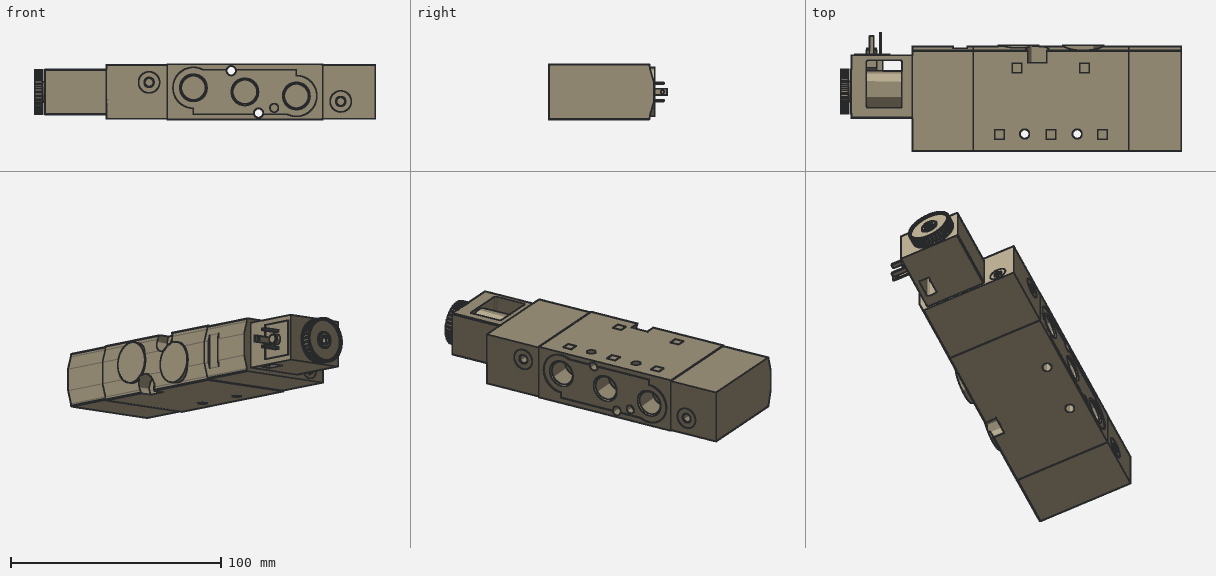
import cadquery as cq
import math


total_length = 162.2
body_length = 74.0
right_cap_length = 25.1
left_cap_length = 28.9
coil_length = 29.0
body_end_x = total_length - right_cap_length
body_start_x = body_end_x - body_length
body_center_x = (body_start_x + body_end_x) / 2
left_cap_x = body_start_x - left_cap_length
coil_x = left_cap_x - coil_length

body_height = 26.5
cap_height = 25.6
shoulder_y = 48.0
edge_chamfer = 0.5
strip_half_height = 11.4
crown_y = 49.8
crown_half_height = 5.2

port_spacing = 24.5
port_stagger = 2.0
port_diameter = 11.5
port_mouth_diameter = 13.0
port_chamfer = (port_mouth_diameter - port_diameter) / 2
port_depth = 13.0
gasket_recess_depth = 0.5
gasket_end_diameter = 19.5
gasket_height = 21.0
rear_port_offset = 15.4
rear_boss_diameter = 19.5
rear_boss_y = 50.5

mount_hole_diameter = 4.4
cross_hole_offset_x = 6.5
cross_hole_z = 10.0
counterbore_diameter = 10.9
counterbore_floor_y = 42.0
vertical_hole_offset_x = 12.5
vertical_hole_y = 8.1
pilot_hole_offset_x = 14.0
pilot_hole_z = -7.6
pilot_hole_diameter = 4.0
pilot_hole_depth = 4.9
label_size = 4.5
label_depth = 0.2
front_label_y = 8.0
rear_label_y = 39.4
rear_label_offset = 16.0

cap_port_offset_x = 45.5
cap_port_z = 4.5
spotface_diameter = 10.0
spotface_depth = 0.2
cap_port_diameter = 4.0
cap_port_mouth_diameter = 4.7
cap_port_chamfer = (cap_port_mouth_diameter - cap_port_diameter) / 2
cap_port_depth = 8.1
cap_notch_x = 53.5
cap_notch_width = 6.6
cap_notch_depth = 0.8

screw_y = 8.5
screw_z = -7.8
screw_head_diameter = 8.0
screw_head_height = 4.0
socket_core_diameter = 3.2
socket_lobe_diameter = 0.9
socket_lobe_count = 6
socket_depth = 1.6

coil_front_y = 15.5
coil_back_y = 45.5
coil_height = 21.7
coil_chamfer = 0.5
coil_axis_y = 28.4
winding_diameter = 19.5
window_x = 12.3
window_length = 16.9
window_front_y = 20.6
window_back_y = 43.1
window_corner_radius = 0.8
window_floor_z = -8.1
slot_x = 20.1
socket_block_end_x = 17.2
socket_block_front_y = 38.5
socket_block_top_z = -1.6
socket_block_chamfer = 1.3
wire_hole_front_y = 38.8
wire_hole_back_y = 42.0
wire_hole_bottom_z = 3.9
wire_hole_top_z = 8.5
face_ring_diameter = 21.0
face_ring_thickness = 0.5

pad_size = 16.5
pad_thickness = 0.5
pad_y = coil_back_y + pad_thickness
pad_center_x = 15.0
terminal_x = 14.8
insert_steps = ((5.0, 2.0), (4.4, 2.9))
contact_width = 2.1
contact_thickness = 1.0
contact_spacing = 8.3
contact_tip_y = 54.8
contact_tip_chamfer = 0.3
earth_x = 19.0
earth_width = 3.0
earth_thickness = 0.6
earth_tip_y = 56.3
earth_hole_diameter = 1.5
earth_hole_y = 54.0
terminal_embedment = 1.6

nut_diameter = 21.2
nut_thickness = 3.7
nut_recess_diameter = 19.3
nut_recess_depth = 0.8
nut_hub_diameter = 8.0
nut_hub_chamfer = 0.5
nut_bore_diameter = 3.2
nut_bore_chamfer = 0.6
nut_bore_depth = 1.3
nut_bore_end_diameter = 0.9
nut_bore_taper_length = 1.3
nut_collar_diameter = 9.7
knurl_count = 34
knurl_groove_diameter = 0.8


def box(x0, x1, y0, y1, z0, z1):
    """Box between opposite corners."""
    return cq.Workplane("XY").box(x1 - x0, y1 - y0, z1 - z0, centered=False).translate((x0, y0, z0))


def rod_x(diameter, x0, x1, y, z):
    """Cylinder along X."""
    return cq.Workplane("YZ", origin=(x0, y, z)).circle(diameter / 2).extrude(x1 - x0)


def rod_y(diameter, y0, y1, x, z):
    """Cylinder along Y."""
    return cq.Workplane("XZ", origin=(x, y0, z)).circle(diameter / 2).extrude(y0 - y1)


def cone_x(diameter0, diameter1, length, x, y, z):
    """Truncated cone along X, from diameter0 at x to diameter1 at x + length."""
    return cq.Workplane(cq.Solid.makeCone(diameter0 / 2, diameter1 / 2, length,
                                          cq.Vector(x, y, z), cq.Vector(1, 0, 0)))


def countersink_y(mouth_diameter, depth, x, y, z):
    """Cone of a 45 degree chamfer that narrows toward +Y."""
    return cq.Workplane(cq.Solid.makeCone(mouth_diameter / 2, mouth_diameter / 2 - depth, depth,
                                          cq.Vector(x, y, z), cq.Vector(0, 1, 0)))


def crowned_block(x0, x1, height):
    """Block with a square front and a back face that rises to a flat crown at mid-height."""
    half = height / 2
    upper_half = [
        (shoulder_y - edge_chamfer, half),
        (shoulder_y, half - edge_chamfer),
        (shoulder_y, strip_half_height),
        (crown_y, crown_half_height),
    ]
    lower_half = [(y, -z) for y, z in reversed(upper_half)]
    outline = [(0, half)] + upper_half + lower_half + [(0, -half)]
    return cq.Workplane("YZ", origin=(x0, 0, 0)).polyline(outline).close().extrude(x1 - x0)



def gasket_recess():
    """Shallow recess around the front ports: a rectangle with a staggered round at each end."""
    recess = box(body_center_x - port_spacing, body_center_x + port_spacing,
                 0, gasket_recess_depth, -gasket_height / 2, gasket_height / 2)
    for side in (-1, 1):
        recess = recess.union(rod_y(gasket_end_diameter, 0, gasket_recess_depth,
                                    body_center_x + side * port_spacing, -side * port_stagger))
    return recess


def cut_front_ports(body):
    """Three chamfered blind ports that step down from left to right."""
    for side in (-1, 0, 1):
        x = body_center_x + side * port_spacing
        z = -side * port_stagger
        body = body.cut(rod_y(port_diameter, 0, port_depth, x, z))
        body = body.cut(countersink_y(port_mouth_diameter, port_chamfer, x, gasket_recess_depth, z))
    pilot_x = body_center_x + pilot_hole_offset_x
    return body.cut(rod_y(pilot_hole_diameter, 0, pilot_hole_depth, pilot_x, pilot_hole_z))


def cut_mounting_holes(body):
    """Two through holes along Y, counterbored at the back, and two through holes along Z."""
    for side in (-1, 1):
        x = body_center_x + side * cross_hole_offset_x
        z = -side * cross_hole_z
        body = body.cut(rod_y(mount_hole_diameter, 0, rear_boss_y, x, z))
        body = body.cut(rod_y(counterbore_diameter, counterbore_floor_y, rear_boss_y, x, z))
        vertical_hole = (
            cq.Workplane("XY", origin=(body_center_x + side * vertical_hole_offset_x, vertical_hole_y, 0))
            .circle(mount_hole_diameter / 2)
            .extrude(body_height, both=True)
        )
        body = body.cut(vertical_hole)
    return body


def cut_label_pads(body):
    """Shallow square label pads on the top face, one per port."""
    centers = [(offset * port_spacing, front_label_y) for offset in (-1, 0, 1)]
    centers += [(offset * rear_label_offset, rear_label_y) for offset in (-1, 1)]
    pads = (
        cq.Workplane("XY", origin=(body_center_x, 0, body_height / 2 - label_depth))
        .pushPoints(centers)
        .rect(label_size, label_size)
        .extrude(label_depth)
    )
    return body.cut(pads)


def make_valve_body():
    body = crowned_block(body_start_x, body_end_x, body_height)
    for side in (-1, 1):
        body = body.union(rod_y(rear_boss_diameter, shoulder_y - edge_chamfer, rear_boss_y,
                                body_center_x + side * rear_port_offset, side * port_stagger))
    body = body.cut(gasket_recess())
    body = cut_front_ports(body)
    body = cut_mounting_holes(body)
    return cut_label_pads(body)



def make_cap(x0, x1, side):
    """End cap with a spotfaced threaded port in front; side is -1 for left and 1 for right."""
    x = body_center_x + side * cap_port_offset_x
    z = -side * cap_port_z
    cap = crowned_block(x0, x1, cap_height)
    cap = cap.cut(rod_y(spotface_diameter, 0, spotface_depth, x, z))
    cap = cap.cut(rod_y(cap_port_diameter, 0, cap_port_depth, x, z))
    return cap.cut(countersink_y(cap_port_mouth_diameter, cap_port_chamfer, x, spotface_depth, z))


def screw_blank():
    """Envelope of the cap screw, also the shape of its seat."""
    return rod_x(screw_head_diameter, left_cap_x, left_cap_x + screw_head_height, screw_y, screw_z)


def make_left_cap():
    """Left cap with the screw seat and a notch across the crown of its back face."""
    cap = make_cap(left_cap_x, body_start_x, -1)
    cap = cap.cut(screw_blank())
    notch = box(cap_notch_x, cap_notch_x + cap_notch_width, crown_y - cap_notch_depth, crown_y,
                -cap_height / 2, cap_height / 2)
    return cap.cut(notch)


def make_cap_screw():
    """Flush screw head with a six-lobed socket."""
    socket_end_x = left_cap_x + socket_depth
    screw = screw_blank().cut(rod_x(socket_core_diameter, left_cap_x, socket_end_x, screw_y, screw_z))
    for i in range(socket_lobe_count):
        angle = math.radians(90 + i * 360 / socket_lobe_count)
        lobe_y = screw_y + socket_core_diameter / 2 * math.cos(angle)
        lobe_z = screw_z + socket_core_diameter / 2 * math.sin(angle)
        screw = screw.cut(rod_x(socket_lobe_diameter, left_cap_x, socket_end_x, lobe_y, lobe_z))
    return screw



def coil_window():
    """Space around the winding, open at the top, with a slot through the floor behind the winding."""
    half = coil_height / 2
    window_end_x = window_x + window_length
    window = box(window_x, window_end_x, window_front_y, window_back_y, window_floor_z, half)
    window = window.edges("|Z").fillet(window_corner_radius)
    slot = box(slot_x, window_end_x, coil_axis_y + winding_diameter / 2, window_back_y, -half, half)
    slot = slot.edges("|Z and >X and >Y").fillet(window_corner_radius)
    socket_block = box(window_x, socket_block_end_x, socket_block_front_y, window_back_y,
                       window_floor_z, socket_block_top_z)
    socket_block = socket_block.edges(">Z and <Y").chamfer(socket_block_chamfer)
    winding = rod_x(winding_diameter, window_x, window_end_x, coil_axis_y, 0)
    return window.union(slot).cut(socket_block).cut(winding)


def connector_base():
    """Square pad on the back of the coil with the stepped screw insert on it."""
    half = pad_size / 2
    base = box(pad_center_x - half, pad_center_x + half, coil_back_y, pad_y, -half, half)
    for diameter, height in insert_steps:
        base = base.union(rod_y(diameter, coil_back_y, pad_y + height, terminal_x, 0))
    return base


def make_coil(terminals):
    """Coil block with its winding window and a pocket for each terminal."""
    half = coil_height / 2
    coil = box(coil_x, left_cap_x, coil_front_y, coil_back_y, -half, half)
    coil = coil.edges("|X and <Y").chamfer(coil_chamfer)
    coil = coil.cut(coil_window())
    coil = coil.cut(box(window_x + window_length, left_cap_x, wire_hole_front_y, wire_hole_back_y,
                        wire_hole_bottom_z, wire_hole_top_z))
    coil = coil.union(rod_x(face_ring_diameter, coil_x - face_ring_thickness, coil_x, coil_axis_y, 0))
    coil = coil.union(connector_base())
    for terminal in terminals:
        coil = coil.cut(terminal)
    return coil


def make_contact(z):
    """Contact pin with a chamfered tip."""
    contact = box(terminal_x - contact_width / 2, terminal_x + contact_width / 2,
                  pad_y - terminal_embedment, contact_tip_y,
                  z - contact_thickness / 2, z + contact_thickness / 2)
    return contact.faces(">Y").edges().chamfer(contact_tip_chamfer)


def make_earth_blade():
    """Flat earth blade with a hole near its tip."""
    x0 = earth_x - earth_thickness / 2
    x1 = earth_x + earth_thickness / 2
    blade = box(x0, x1, pad_y - terminal_embedment, earth_tip_y, -earth_width / 2, earth_width / 2)
    return blade.cut(rod_x(earth_hole_diameter, x0, x1, earth_hole_y, 0))



def make_coil_nut():
    """Knurled nut with a recessed face, a tapering bore in its hub and a collar that bears on the coil."""
    nut = rod_x(nut_diameter, 0, nut_thickness, coil_axis_y, 0)
    grooves = (
        cq.Workplane("YZ", origin=(0, coil_axis_y, 0))
        .polarArray(nut_diameter / 2, 0, 360, knurl_count)
        .circle(knurl_groove_diameter / 2)
        .extrude(nut_thickness)
    )
    hub = rod_x(nut_hub_diameter, 0, nut_recess_depth, coil_axis_y, 0)
    hub = hub.faces("<X").edges().chamfer(nut_hub_chamfer)
    recess = rod_x(nut_recess_diameter, 0, nut_recess_depth, coil_axis_y, 0)
    collar = rod_x(nut_collar_diameter, nut_thickness, coil_x - face_ring_thickness, coil_axis_y, 0)
    bore = rod_x(nut_bore_diameter, 0, nut_bore_depth, coil_axis_y, 0)
    mouth = cone_x(nut_bore_diameter + 2 * nut_bore_chamfer, nut_bore_diameter, nut_bore_chamfer,
                   0, coil_axis_y, 0)
    bore_end = cone_x(nut_bore_diameter, nut_bore_end_diameter, nut_bore_taper_length,
                      nut_bore_depth, coil_axis_y, 0)
    nut = nut.cut(grooves).cut(recess).union(hub).union(collar)
    return nut.cut(bore).cut(bore_end).cut(mouth)


valve_body = make_valve_body()
left_cap = make_left_cap()
right_cap = make_cap(body_end_x, total_length, 1)
cap_screw = make_cap_screw()
contacts = [make_contact(side * contact_spacing / 2) for side in (-1, 1)]
earth_blade = make_earth_blade()
coil = make_coil(contacts + [earth_blade])
coil_nut = make_coil_nut()

result = cq.Compound.makeCompound([
    valve_body.val(),
    left_cap.val(),
    right_cap.val(),
    cap_screw.val(),
    coil.val(),
    coil_nut.val(),
    earth_blade.val(),
    *[contact.val() for contact in contacts],
])